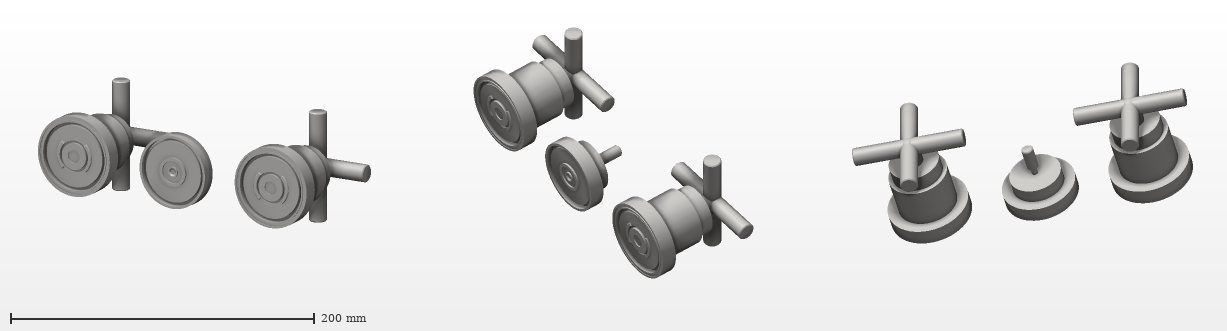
import cadquery as cq
import math

overall_width = 225.0
rod_length = 75.0
handle_offset = (overall_width - rod_length) / 2

rod_diameter = 12.0
rod_end_chamfer = 0.7
stem_radius = 6.5
rod_axis_y = 62.0

escutcheon_flange_radius = 27.5
escutcheon_flange_thickness = 10.8
sleeve_radius = 20.0
sleeve_end_y = 38.5
rim_recess_radius = 26.0
rim_recess_depth = 0.7

core_flange_radius = 24.5
core_flange_thickness = 7.6
core_hub_radius = 17.0
core_hub_end_y = 49.3
core_groove_outer_radius = 23.5
core_disc_radius = 21.2
core_disc_recess = 1.0
core_groove_depth = 4.0
centre_groove_outer_radius = 10.8
centre_disc_radius = 9.2
centre_groove_depth = 2.2
centre_recess_radius = 4.5
centre_recess_depth = 1.0

tab_outer_radius = 13.3
tab_height = 1.0
tab_half_angle = 47.0
tab_edge_chamfer = 0.5

knob_flange_radius = 25.0
knob_flange_thickness = 10.1
knob_step_radius = 17.5
knob_step_end_y = 19.8
neck_radius = 2.0
grip_diameter = 7.9
grip_start_y = 25.2
grip_end_y = 42.0
grip_edge_chamfer = 0.7
knob_groove_outer_radius = 23.2
knob_disc_radius = 21.0
knob_disc_recess = 1.5
knob_groove_depth = 4.5
knob_boss_radius = 10.0
knob_boss_height = 1.4
knob_boss_recess_radius = 7.6
knob_boss_recess_depth = 1.1
socket_radius = 3.5
socket_height = 1.1
socket_hole_radius = 1.8
socket_hole_depth = 1.1
socket_countersink = 1.0


def disc(radius, start_y, end_y, x=0.0):
    """Solid cylinder along Y between two depths."""
    return (
        cq.Workplane("XZ", origin=(x, start_y, 0))
        .circle(radius)
        .extrude(start_y - end_y)
    )


def ring(outer_radius, inner_radius, start_y, end_y, x=0.0):
    """Tube along Y between two depths."""
    return disc(outer_radius, start_y, end_y, x).cut(disc(inner_radius, start_y, end_y, x))


def make_escutcheon(x):
    """Flanged sleeve with a stepped bore that the core fills."""
    flange = disc(escutcheon_flange_radius, 0, escutcheon_flange_thickness, x)
    sleeve = disc(sleeve_radius, 0, sleeve_end_y, x)
    rim_recess = disc(rim_recess_radius, 0, rim_recess_depth, x)
    flange_bore = disc(core_flange_radius, 0, core_flange_thickness, x)
    hub_bore = disc(core_hub_radius, 0, sleeve_end_y, x)
    return flange.union(sleeve).cut(rim_recess).cut(flange_bore).cut(hub_bore)


def make_tab(x, side):
    """Pie-shaped pad with chamfered edges; side is -1 for -X and 1 for +X."""
    angle = math.radians(tab_half_angle)
    corner_x = side * tab_outer_radius * math.cos(angle)
    corner_z = tab_outer_radius * math.sin(angle)
    return (
        cq.Workplane("XZ", origin=(x, core_disc_recess - tab_height, 0))
        .lineTo(corner_x, corner_z)
        .threePointArc((side * tab_outer_radius, 0), (corner_x, -corner_z))
        .close()
        .extrude(-2 * tab_height)
        .faces("<Y").chamfer(tab_edge_chamfer)
    )


def make_core(x):
    """Flange with a grooved face and a hub that reaches past the sleeve."""
    body = disc(core_flange_radius, 0, core_flange_thickness, x)
    body = body.union(disc(core_hub_radius, 0, core_hub_end_y, x))

    body = body.cut(disc(core_groove_outer_radius, 0, core_disc_recess, x))
    body = body.cut(ring(core_groove_outer_radius, core_disc_radius, 0, core_groove_depth, x))

    for side in (-1, 1):
        body = body.union(make_tab(x, side))
    body = body.cut(disc(centre_groove_outer_radius, 0, centre_groove_depth, x))
    body = body.union(disc(centre_disc_radius, 0, centre_groove_depth, x))
    return body.cut(disc(centre_recess_radius, 0, centre_recess_depth, x))


def make_cross(x):
    """Ball-ended stem standing on the hub, crossed by an X rod and a Z rod."""
    stem = disc(stem_radius, core_hub_end_y, rod_axis_y, x)
    ball = cq.Workplane("XY", origin=(x, rod_axis_y, 0)).sphere(stem_radius)
    cross = stem.union(ball)
    for plane in ("XY", "YZ"):
        rod = (
            cq.Workplane(plane, origin=(x, rod_axis_y, 0))
            .circle(rod_diameter / 2)
            .extrude(rod_length / 2, both=True)
            .edges("%CIRCLE").chamfer(rod_end_chamfer)
        )
        cross = cross.union(rod)
    return cross


def make_lift_knob():
    """Stepped base with a slim neck and grip behind it and a socket in its front face."""
    base = disc(knob_flange_radius, 0, knob_flange_thickness)
    base = base.union(disc(knob_step_radius, 0, knob_step_end_y))
    base = base.cut(disc(knob_groove_outer_radius, 0, knob_disc_recess))
    base = base.cut(ring(knob_groove_outer_radius, knob_disc_radius, 0, knob_groove_depth))

    boss_face = knob_disc_recess - knob_boss_height
    boss_floor = boss_face + knob_boss_recess_depth
    base = base.union(disc(knob_boss_radius, boss_face, knob_flange_thickness))
    base = base.cut(disc(knob_boss_recess_radius, boss_face, boss_floor))

    socket_face = boss_floor - socket_height
    base = base.union(disc(socket_radius, socket_face, knob_flange_thickness))
    hole = disc(socket_hole_radius, socket_face, socket_face + socket_hole_depth)
    countersink = cq.Workplane(
        cq.Solid.makeCone(
            socket_hole_radius + socket_countersink,
            socket_hole_radius,
            socket_countersink,
            pnt=cq.Vector(0, socket_face, 0),
            dir=cq.Vector(0, 1, 0),
        )
    )
    base = base.cut(hole).cut(countersink)

    neck = disc(neck_radius, knob_flange_thickness, grip_end_y)
    grip = disc(grip_diameter / 2, grip_start_y, grip_end_y)
    grip = grip.edges("%CIRCLE").chamfer(grip_edge_chamfer)
    return base.union(neck).union(grip)


handle_positions = [-handle_offset, handle_offset]
escutcheons = [make_escutcheon(x) for x in handle_positions]
cores = [make_core(x) for x in handle_positions]
crosses = [make_cross(x) for x in handle_positions]
lift_knob = make_lift_knob()

bodies = [*escutcheons, *cores, *crosses, lift_knob]
result = cq.Compound.makeCompound([body.val() for body in bodies])